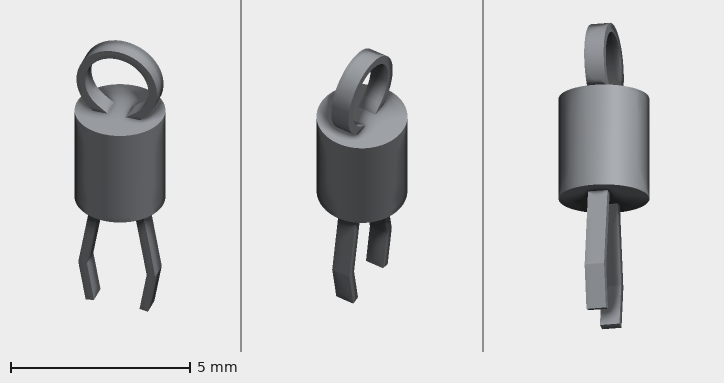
import cadquery as cq
import math

bead_diameter = 2.54
bead_height = 2.94

strip_width = 0.56
strip_thickness = 0.25

loop_outer_radius = 1.19
loop_inner_radius = loop_outer_radius - strip_thickness
loop_rise = 2.16
loop_end_angle = 54.0
loop_center_z = bead_height + loop_rise - loop_outer_radius

leg_angle = 10.0
leg_root_outer_x = 0.735
leg_bend_depth = 2.28
leg_total_depth = 3.52

embed = 0.1


def make_bead():
    return cq.Workplane("XY").circle(bead_diameter / 2).extrude(bead_height)


def extrude_strip(outline):
    """Extrude a closed XZ outline to the strip width, centred on Y = 0."""
    return outline.close().extrude(strip_width / 2, both=True)


def make_loop():
    """Open ring whose two ends run on as straight tangents into the bead."""
    cos_end = math.cos(math.radians(loop_end_angle))
    sin_end = math.sin(math.radians(loop_end_angle))
    tail_bottom_z = bead_height - embed

    def arc_end(radius):
        return radius * cos_end, loop_center_z - radius * sin_end

    def tail_end(radius):
        x, z = arc_end(radius)
        return x - (z - tail_bottom_z) * sin_end / cos_end, tail_bottom_z

    def mirrored(point):
        return -point[0], point[1]

    def half_tail(side):
        corners = [
            arc_end(loop_outer_radius),
            tail_end(loop_outer_radius),
            tail_end(loop_inner_radius),
            arc_end(loop_inner_radius),
        ]
        if side < 0:
            corners = [mirrored(corner) for corner in corners]
        return extrude_strip(cq.Workplane("XZ").polyline(corners))

    outer_end = arc_end(loop_outer_radius)
    inner_end = arc_end(loop_inner_radius)
    ring = extrude_strip(
        cq.Workplane("XZ")
        .moveTo(*outer_end)
        .threePointArc((0, loop_center_z + loop_outer_radius), mirrored(outer_end))
        .lineTo(*mirrored(inner_end))
        .threePointArc((0, loop_center_z + loop_inner_radius), inner_end)
    )
    return ring.union(half_tail(1)).union(half_tail(-1))


def make_leg():
    """Leg on +X: splays outward to the bend, then turns back inward."""
    slope = math.tan(math.radians(leg_angle))
    face_gap = strip_thickness / math.cos(math.radians(leg_angle))
    tip_dx = strip_thickness * math.cos(math.radians(leg_angle))
    tip_dz = strip_thickness * math.sin(math.radians(leg_angle))

    root_x = leg_root_outer_x - embed * slope
    bend_x = leg_root_outer_x + leg_bend_depth * slope
    tip_x = bend_x - (leg_total_depth - leg_bend_depth) * slope
    return extrude_strip(
        cq.Workplane("XZ").polyline([
            (root_x, embed),
            (bend_x, -leg_bend_depth),
            (tip_x, -leg_total_depth),
            (tip_x - tip_dx, -leg_total_depth + tip_dz),
            (bend_x - face_gap, -leg_bend_depth),
            (root_x - face_gap, embed),
        ])
    )


leg = make_leg()
result = make_bead().union(make_loop()).union(leg).union(leg.mirror("YZ"))